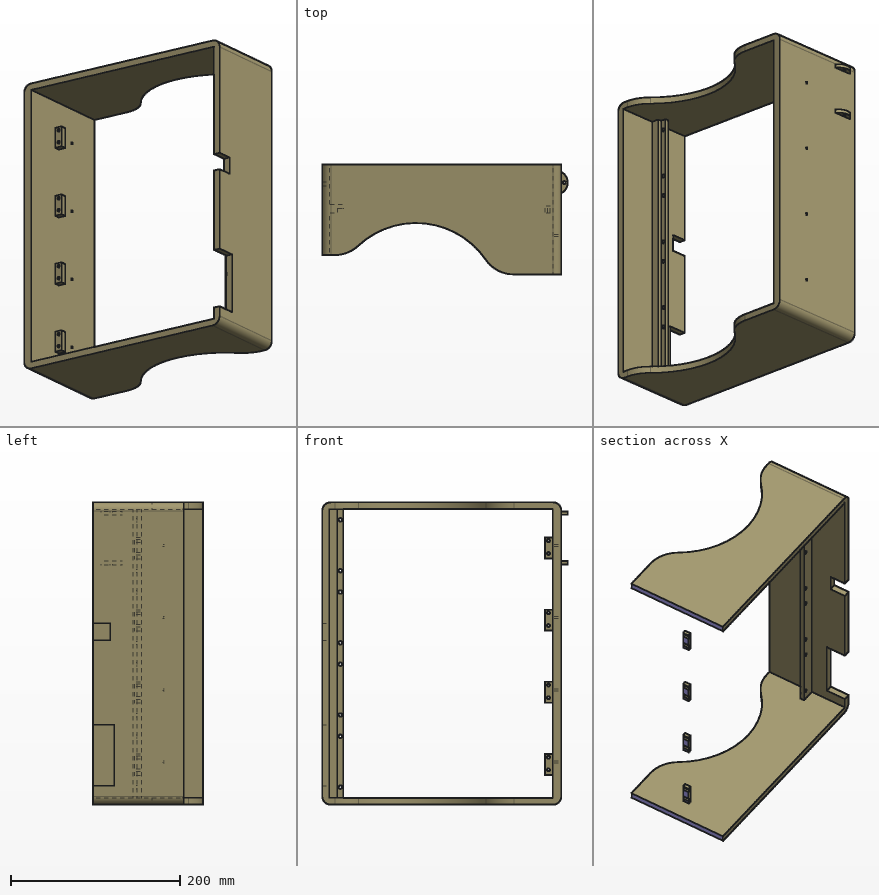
import cadquery as cq
import math

frame_width = 282.5
frame_height = 357.0
left_depth = 107.0
right_depth = 130.0
wall = 8.2
right_wall = 10.5
corner_radius = 10.0
inner_right = frame_width - right_wall
inner_height = frame_height - 2 * wall

arch_x = 110.5
arch_y = -69.3
arch_radius = 100.0
shoulder_radius = 40.0

bay_count = 4
bay_height = inner_height / bay_count
bay_centers = [wall + (bay + 0.5) * bay_height for bay in range(bay_count)]

bracket_width = 9.3
bracket_depth = 8.0
bracket_height = 25.0
bracket_front = -56.8
bracket_drop = 3.2
bracket_hole_x = inner_right - 5.0
bracket_hole_spacing = 15.0
bracket_hole_lift = 1.0
bracket_hole_diameter = 3.2

rail_block_width = 9.5
rail_block_depth = 10.0
flange_width = 7.0
flange_thickness = 5.0
rail_hole_spacing = 60.0
rail_hole_diameter = 4.0

wall_hole_y = -83.5
wall_hole_diameter = 2.5

notches = [(20.5, 194.0, 20.5), (25.5, 22.0, 72.0)]

lug_reach = 7.5
lug_half_length = 12.5
lug_y = -21.5
lug_thickness = 4.3
lug_pair_bottom = 283.5
lug_pair_top = 346.3
lug_bottoms = [lug_pair_bottom, lug_pair_top - lug_thickness]
lug_hole_offset = 3.2
lug_hole_diameter = 3.2


def box(x0, y0, z0, width, depth, height):
    """Box from its minimum corner and its three sizes."""
    return cq.Workplane("XY").box(width, depth, height, centered=False).translate((x0, y0, z0))


def cylinder(x, y, z, diameter, length, direction):
    """Cylinder starting at a point and running along a direction."""
    return cq.Workplane(
        cq.Solid.makeCylinder(diameter / 2, length, cq.Vector(x, y, z), cq.Vector(*direction))
    )


def shoulder(edge_y, side):
    """Shoulder centre, its end on the straight edge, its midpoint and its joint with the arch."""
    center_gap = arch_radius + shoulder_radius
    arch_center_y = arch_y - arch_radius
    center_y = edge_y + shoulder_radius
    rise = center_y - arch_center_y
    run = math.sqrt(center_gap**2 - rise**2)
    center_x = arch_x + side * run
    share = arch_radius / center_gap
    joint = (arch_x + side * run * share, arch_center_y + rise * share)
    half_angle = math.atan2(run, rise) / 2
    middle = (
        center_x - side * shoulder_radius * math.sin(half_angle),
        center_y - shoulder_radius * math.cos(half_angle),
    )
    return (center_x, edge_y), middle, joint


def make_frame():
    """Rectangular tube with rounded outer corners, trimmed to the curved front edge."""
    left_edge, left_middle, left_joint = shoulder(-left_depth, -1)
    right_edge, right_middle, right_joint = shoulder(-right_depth, 1)
    frame = (
        cq.Workplane("XY")
        .moveTo(0, 0)
        .lineTo(0, -left_depth)
        .lineTo(*left_edge)
        .threePointArc(left_middle, left_joint)
        .threePointArc((arch_x, arch_y), right_joint)
        .threePointArc(right_middle, right_edge)
        .lineTo(frame_width, -right_depth)
        .lineTo(frame_width, 0)
        .close()
        .extrude(frame_height)
    )
    envelope = box(0, -right_depth, 0, frame_width, right_depth, frame_height)
    frame = frame.intersect(envelope.edges("|Y").fillet(corner_radius))
    opening = box(wall, -right_depth, wall, inner_right - wall, right_depth, inner_height)
    return frame.cut(opening)


def make_bracket(bay_center):
    """Block on the right wall with two screw holes along Y."""
    center_z = bay_center - bracket_drop
    bracket = box(
        inner_right - bracket_width, bracket_front, center_z - bracket_height / 2,
        bracket_width, bracket_depth, bracket_height,
    )
    for side in (-1, 1):
        hole_z = center_z + bracket_hole_lift + side * bracket_hole_spacing / 2
        bracket = bracket.cut(
            cylinder(
                bracket_hole_x, bracket_front, hole_z,
                bracket_hole_diameter, bracket_depth, (0, 1, 0),
            )
        )
    return bracket


def make_rail():
    """Full-height block on the left wall with a thinner drilled flange."""
    flange_x = wall + rail_block_width
    rail = box(wall, bracket_front, wall, rail_block_width, rail_block_depth, inner_height)
    flange_y = bracket_front + rail_block_depth - flange_thickness
    flange = box(flange_x, flange_y, wall, flange_width, flange_thickness, inner_height)
    rail = rail.union(flange)
    for bay_center in bay_centers:
        for side in (-1, 1):
            hole_z = bay_center + side * rail_hole_spacing / 2
            rail = rail.cut(
                cylinder(
                    flange_x + flange_width / 2, flange_y, hole_z,
                    rail_hole_diameter, flange_thickness, (0, 1, 0),
                )
            )
    return rail


def make_lug(bottom):
    """Round-nosed hinge lug with a vertical pin hole."""
    lug = (
        cq.Workplane("XY", origin=(frame_width, lug_y, bottom))
        .moveTo(0, -lug_half_length)
        .threePointArc((lug_reach, 0), (0, lug_half_length))
        .close()
        .extrude(lug_thickness)
    )
    pin_x = frame_width + lug_hole_offset
    return lug.cut(cylinder(pin_x, lug_y, bottom, lug_hole_diameter, lug_thickness, (0, 0, 1)))


def cut_notches(body):
    """Cut the rear notches through the left wall."""
    for depth, bottom, height in notches:
        body = body.cut(box(0, -depth, bottom, wall, depth, height))
    return body


def cut_wall_holes(body):
    """Drill one cross hole through the right wall in each bay."""
    for bay_center in bay_centers:
        body = body.cut(
            cylinder(
                inner_right, wall_hole_y, bay_center,
                wall_hole_diameter, right_wall, (1, 0, 0),
            )
        )
    return body


result = cut_wall_holes(cut_notches(make_frame()))
result = result.union(make_rail())
for bay_center in bay_centers:
    result = result.union(make_bracket(bay_center))
for lug_bottom in lug_bottoms:
    result = result.union(make_lug(lug_bottom))